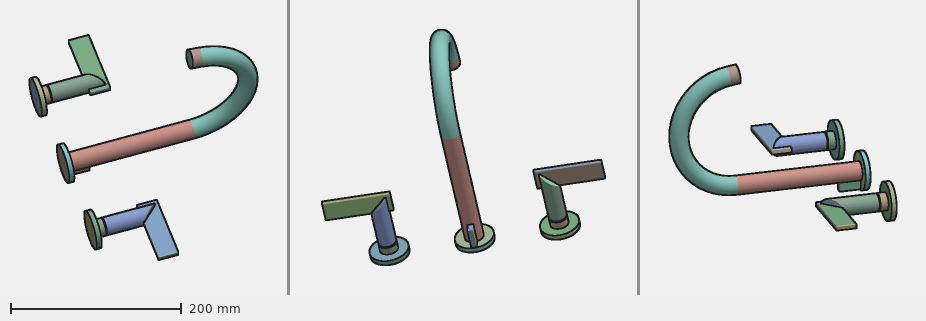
import cadquery as cq
import math


flange_diameter = 47.0
flange_thickness = 6.3

overall_depth = 240.0
spout_diameter = 23.0
bend_radius = 69.5
tip_droop = 8.0
tip_length = 12.3
bend_start = overall_depth - bend_radius - spout_diameter / 2

block_width = 7.3
block_end = 32.0
block_bottom = -22.5
block_fillet = 1.0

overall_width = 333.2
handle_offset = 101.5
post_diameter = 22.0
groove_start = 16.0
groove_width = 1.0
groove_depth = 0.5
miter_centre = 74.0
miter_fillet = 1.0
lever_inner_overhang = 16.0
lever_height = 25.0
lever_start = 62.3
lever_thickness = 6.0
lever_fillet = 1.0
lever_length = overall_width / 2 - handle_offset + lever_inner_overhang


def rod(diameter, start, end):
    """Round bar along +Y from start to end."""
    return cq.Workplane("XZ", origin=(0, start, 0)).circle(diameter / 2).extrude(start - end)


def make_flange():
    return rod(flange_diameter, 0, flange_thickness)


def make_spout_tube():
    """Straight pipe, near half-turn bend and short straight tip, in the YZ plane."""
    droop = math.radians(tip_droop)
    bend_end_y = bend_start + bend_radius * math.sin(droop)
    bend_end_z = bend_radius + bend_radius * math.cos(droop)
    tip_y = bend_end_y - tip_length * math.cos(droop)
    tip_z = bend_end_z + tip_length * math.sin(droop)
    path = (
        cq.Workplane("YZ")
        .lineTo(bend_start, 0)
        .threePointArc((bend_start + bend_radius, bend_radius), (bend_end_y, bend_end_z))
        .lineTo(tip_y, tip_z)
    )
    return cq.Workplane("XZ").circle(spout_diameter / 2).sweep(path)


def make_block():
    """Small block from the flange back along the underside of the spout."""
    return (
        cq.Workplane("XY", origin=(0, 0, block_bottom))
        .box(block_width, block_end, -block_bottom, centered=(True, False, False))
        .edges(">Y or (<Z and |Y)")
        .fillet(block_fillet)
    )


def make_spout():
    return make_spout_tube().union(make_flange()).union(make_block())


def make_post():
    """Grooved post whose free end is mitred at 45 degrees, falling towards +X."""
    radius = post_diameter / 2
    post = rod(post_diameter, 0, miter_centre + radius)
    groove_end = groove_start + groove_width
    groove = rod(post_diameter, groove_start, groove_end).cut(
        rod(post_diameter - 2 * groove_depth, groove_start, groove_end)
    )
    miter_waste = (
        cq.Workplane("XY")
        .moveTo(-radius, miter_centre + radius)
        .lineTo(radius, miter_centre + radius)
        .lineTo(radius, miter_centre - radius)
        .close()
        .extrude(radius, both=True)
    )
    mitred_post = post.cut(miter_waste).faces(">(1, 1, 0)").edges().fillet(miter_fillet)
    return mitred_post.cut(groove)


def make_lever():
    """Flat lever reaching out towards +X, with rounded edges."""
    return (
        cq.Workplane("XY")
        .box(lever_length, lever_height, lever_thickness, centered=(False, False, True))
        .edges()
        .fillet(lever_fillet)
        .translate((-lever_inner_overhang, lever_start, 0))
    )


def make_handle(side):
    """Handle on the +X side (side = 1) or its mirror image on the -X side (side = -1)."""
    handle = make_flange().union(make_post()).union(make_lever())
    if side < 0:
        handle = handle.mirror("YZ")
    return handle.translate((side * handle_offset, 0, 0))


spout = make_spout()
handles = [make_handle(side) for side in (-1, 1)]

result = cq.Compound.makeCompound([spout.val(), *[handle.val() for handle in handles]])